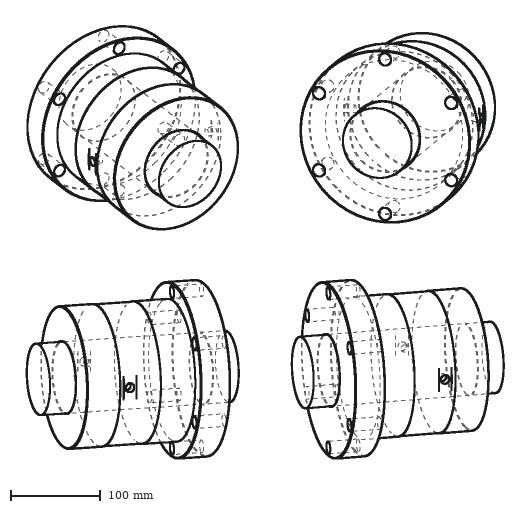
import cadquery as cq

shaft_length = 223.0
shaft_radius = 40.1
shaft_overhang = 30.0
shaft_start = -shaft_length / 2

housing_length = shaft_length - 2 * shaft_overhang
housing_start = shaft_start + shaft_overhang
flange_radius = 99.0
flange_thickness = 35.0
barrel_radius = 80.0
edge_chamfer = 1.0

band_start = housing_start + 75.5
band_width = 48.0
band_radius = 79.5

bolt_count = 6
bolt_circle_radius = 89.0
bolt_hole_diameter = 14.0

pad_width = 15.0
pad_height = 25.5
pad_center_x = housing_start + 111.7
pad_distance = (band_radius**2 - (pad_height / 2) ** 2) ** 0.5
port_mouth_diameter = 10.0
port_floor_diameter = 8.5
port_depth = 10.0


def x_cylinder(start, length, radius):
    """Solid cylinder on the X axis."""
    return cq.Workplane("YZ", origin=(start, 0, 0)).circle(radius).extrude(length)


def make_shaft():
    return x_cylinder(shaft_start, shaft_length, shaft_radius)


def make_housing_blank():
    """Flange and barrel with chamfered rims, bored for the shaft."""
    flange = x_cylinder(housing_start, flange_thickness, flange_radius).edges().chamfer(edge_chamfer)
    barrel = x_cylinder(housing_start, housing_length, barrel_radius).faces(">X").edges().chamfer(edge_chamfer)
    bore = x_cylinder(housing_start, housing_length, shaft_radius)
    blank = flange.union(barrel).cut(bore)
    bore_rims = blank.edges(cq.selectors.RadiusNthSelector(0))
    return bore_rims.chamfer(edge_chamfer)


def relief_band():
    """Ring removed from the barrel to form the relief band."""
    ring_sketch = cq.Workplane("YZ", origin=(band_start, 0, 0)).circle(barrel_radius).circle(band_radius)
    return ring_sketch.extrude(band_width)


def bolt_holes():
    """Through holes in the flange, the first one at the top."""
    pattern = cq.Workplane("YZ", origin=(housing_start, 0, 0)).polarArray(
        bolt_circle_radius, 90, 360, bolt_count
    )
    return pattern.circle(bolt_hole_diameter / 2).extrude(flange_thickness)


def port_pad_cutter():
    """Material removed for the pad and port on the -Y side."""
    pad_depth = barrel_radius - pad_distance
    pad_plane = cq.Workplane("XZ", origin=(pad_center_x, -pad_distance, 0))
    pad = pad_plane.rect(pad_width, pad_height).extrude(pad_depth)
    mouth_center = cq.Vector(pad_center_x, -pad_distance, 0)
    port = cq.Solid.makeCone(
        port_mouth_diameter / 2,
        port_floor_diameter / 2,
        port_depth,
        mouth_center,
        cq.Vector(0, 1, 0),
    )
    return pad.union(cq.Workplane(port))


def make_housing():
    housing = make_housing_blank().cut(relief_band()).cut(bolt_holes())
    pad_cutter = port_pad_cutter()
    for angle in (0, 180):
        housing = housing.cut(pad_cutter.rotate((0, 0, 0), (1, 0, 0), angle))
    return housing


shaft = make_shaft()
housing = make_housing()

result = cq.Compound.makeCompound([housing.solids().val(), shaft.val()])